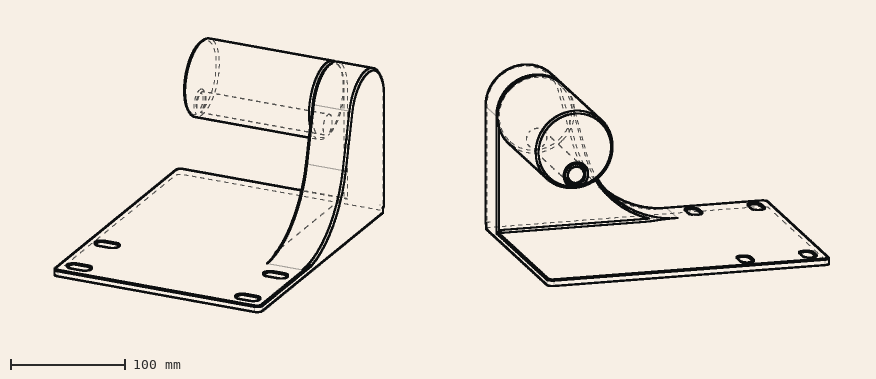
import cadquery as cq
import math

bevel_angle = 45

plate_length = 256.0
plate_width = 200.0
plate_thickness = 6.0
plate_corner_radius = 5.0
plate_edge_chamfer = 1.0

slot_length = 23.0
slot_width = 12.5
slot_depth = 1.0
slot_spacing_x = 162.3
slot_rows_y = (-113.0, -56.0)

overall_height = 145.7
arm_thickness = 38.5
arm_chamfer = 2.0
foot_size = 2.0
arm_lean = math.radians(15)
sweep_radius = 85.0
toe_length = 5.0

roller_diameter = 70.0
roller_length = 123.5
roller_chamfer = 2.0
axle_diameter = 18.2
bore_diameter = 18.7
axle_drop = 22.5
axle_offset_y = -1.0
axle_chamfer = 1.8
bore_chamfer = 1.8

head_radius = roller_diameter / 2
head_y = plate_length / 2 - head_radius
head_z = overall_height - head_radius
arm_outer_x = plate_width / 2
arm_inner_x = arm_outer_x - arm_thickness
roller_end_x = arm_inner_x - roller_length
axle_y = head_y + axle_offset_y
axle_z = head_z - axle_drop
arm_root_z = plate_thickness - plate_edge_chamfer


def make_plate():
    """Rounded plate with a bevelled top edge and four shallow slots with sloping walls."""
    plate = (
        cq.Workplane("XY")
        .rect(plate_width, plate_length)
        .extrude(plate_thickness)
        .edges("|Z")
        .fillet(plate_corner_radius)
        .faces(">Z")
        .chamfer(plate_edge_chamfer)
    )
    slot_places = [(side * slot_spacing_x / 2, y) for side in (-1, 1) for y in slot_rows_y]
    slots = (
        cq.Workplane("XY", origin=(0, 0, plate_thickness))
        .pushPoints(slot_places)
        .slot2D(slot_length, slot_width)
        .extrude(-slot_depth, taper=bevel_angle)
    )
    return plate.cut(slots)


def arm_outline(start_x):
    """Side outline of the arm: round head, leaning front, sweep tangent to the plate, deep toe."""
    lean_cos = math.cos(arm_lean)
    lean_sin = math.sin(arm_lean)
    sweep_z = plate_thickness + sweep_radius
    lean_top = (head_y - head_radius * lean_cos, head_z + head_radius * lean_sin)
    lean_bottom_z = sweep_z - sweep_radius * lean_sin
    lean_bottom_y = lean_top[0] - (lean_top[1] - lean_bottom_z) * math.tan(arm_lean)
    sweep_y = lean_bottom_y - sweep_radius * lean_cos
    mid_angle = (arm_lean + math.pi / 2) / 2
    sweep_middle = (
        sweep_y + sweep_radius * math.cos(mid_angle),
        sweep_z - sweep_radius * math.sin(mid_angle),
    )
    back_y = plate_length / 2
    return (
        cq.Workplane("YZ", origin=(start_x, 0, 0))
        .moveTo(back_y, -toe_length)
        .lineTo(back_y, head_z)
        .threePointArc((head_y, overall_height), lean_top)
        .lineTo(lean_bottom_y, lean_bottom_z)
        .threePointArc(sweep_middle, (sweep_y, plate_thickness))
        .lineTo(sweep_y - toe_length, plate_thickness)
        .lineTo(sweep_y - toe_length, -toe_length)
        .close()
    )


def trim_to_plate(slab):
    """Remove everything that lies below the arm root, just inside the plate."""
    waste_depth = arm_root_z + toe_length
    waste = (
        cq.Workplane("XY", origin=(0, 0, arm_root_z))
        .rect(2 * plate_width, 2 * plate_length)
        .extrude(-waste_depth)
    )
    return slab.cut(waste)


def make_bevelled_arm(start_x, thickness, bevel):
    """Arm slab starting at start_x, with the visible outline bevelled on that side."""
    slab = arm_outline(start_x).extrude(thickness)
    return slab.faces("<X").edges("not(<Z)").edges("not(<Y)").chamfer(bevel)


def make_arm():
    """Arm slab bevelled on both sides."""
    slab = make_bevelled_arm(arm_inner_x, arm_thickness, arm_chamfer)
    return trim_to_plate(slab.faces(">X").edges("not(<Z)").edges("not(<Y)").chamfer(arm_chamfer))


def make_foot():
    """Sloped strip joining the inner arm face to the plate, ending where the arm bevel runs out."""
    strip = (
        cq.Workplane("XZ", origin=(0, plate_length / 2, 0))
        .moveTo(arm_inner_x - foot_size, arm_root_z)
        .lineTo(arm_inner_x - foot_size, plate_thickness)
        .lineTo(arm_inner_x, plate_thickness + foot_size)
        .lineTo(arm_inner_x + arm_chamfer, plate_thickness + foot_size)
        .lineTo(arm_inner_x + arm_chamfer, arm_root_z)
        .close()
        .extrude(plate_length)
    )
    flared_arm = make_bevelled_arm(arm_inner_x - foot_size, arm_thickness, foot_size + arm_chamfer)
    return flared_arm.intersect(strip)


def x_cylinder(start_x, y, z, diameter, length):
    """Cylinder along +X whose axis passes through (y, z)."""
    return cq.Workplane("YZ", origin=(start_x, y, z)).circle(diameter / 2).extrude(length)


def make_bracket():
    """Plate, arm and axle in one piece."""
    axle = x_cylinder(roller_end_x, axle_y, axle_z, axle_diameter, roller_length + arm_thickness / 2)
    axle = axle.faces("<X").chamfer(axle_chamfer)
    return make_plate().union(make_arm()).union(make_foot()).union(axle)


def make_roller():
    """Bevelled cylinder with an off-centre bore for the axle."""
    roller = x_cylinder(roller_end_x, head_y, head_z, roller_diameter, roller_length)
    roller = roller.faces("<X or >X").chamfer(roller_chamfer)
    bore = x_cylinder(roller_end_x, axle_y, axle_z, bore_diameter, roller_length)
    mouth = (
        cq.Workplane("YZ", origin=(roller_end_x, axle_y, axle_z))
        .circle(bore_diameter / 2 + bore_chamfer)
        .extrude(bore_chamfer, taper=bevel_angle)
    )
    return roller.cut(bore).cut(mouth)


bracket = make_bracket()
roller = make_roller()
result = cq.Compound.makeCompound([bracket.val(), roller.val()])